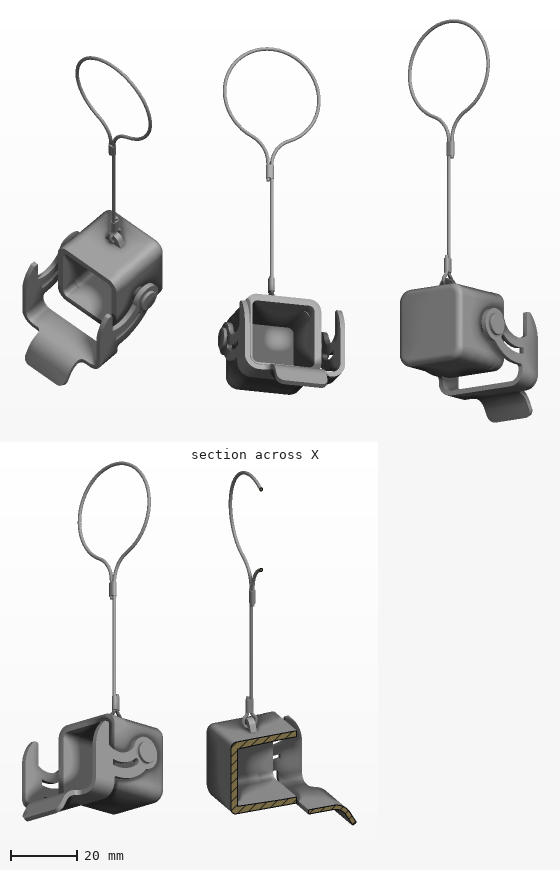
import cadquery as cq
import math

OVERALL_HEIGHT = 118.7

HOOD_SIZE = 24.0
HOOD_BACK = 12.6
HOOD_FRONT = -9.4
HOOD_CORNER = 4.0
HOOD_DRAFT = 0.3
RIM_CORNER = 3.7
RIM_DEPTH = 3.0
HOOD_BACK_ROUND = 1.9
MOUTH_SIZE = 19.7
MOUTH_CORNER = 1.8
MOUTH_DEPTH = 5.1
CAVITY_CORNER = 2.4
CAVITY_DRAFT = 2.0
BACK_WALL = 2.3
HOOD_TOP = HOOD_SIZE / 2

PIN_SPAN = 33.8
PIN_DIAMETER = 4.7
PIN_HEAD_DIAMETER = 6.5
PIN_HEAD_CHAMFER = 0.1
PIN_HALF_LENGTH = PIN_SPAN / 2

SHEET = 1.5
LATCH_HALF_WIDTH = 15.9
LATCH_BEND = 4.5
LATCH_BOTTOM = -16.4
LATCH_FRONT = -21.1
FOOT_BACK = -13.3
FOOT_FILLET = 0.8
EYE_RADIUS = 5.0
SWEEP_Y = -11.3
SWEEP_Z = 5.8
ARM_INNER_RADIUS = 8.0
ARM_OUTER_RADIUS = 15.9
SLOT_RADIUS = 11.9
SLOT_WIDTH = 1.8
SLOT_FRONT = -14.0
SLOT_BACK_ANGLE = math.radians(-51)
HOOK_BACK = -15.7
HOOK_TIP_Z = 6.5
HOOK_FRONT_RADIUS = 11.2
HOOK_BASE_Z = -1.9
HOOK_TIP_ROUND = 0.6

TAB_HALF_WIDTH = 8.1
TAB_ROOT_FILLET = 1.8
TAB_CORNER = 2.4
TAB_BEND = 6.5
TAB_ANGLE = math.radians(59.5)
TAB_BEND_START = -21.5
TAB_END = -29.5

LUG_Y = 3.1
LUG_THICKNESS = 2.0
LUG_HALF_WIDTH = 3.2
LUG_TOP = 15.7
LUG_SHOULDER = 2.3
LUG_SHOULDER_Z = 14.2
LUG_HOLE = 1.9
LUG_HOLE_Z = 13.0

CORD = 1.1
STRAND_GAP = 1.2
FERRULE_LENGTH = 4.3
FERRULE_WIDTH = 1.7
FERRULE_SPAN = 2.5
TAIL = 0.8
SMALL_LOOP = 2.1
SMALL_LOOP_Z = 14.6
SMALL_LOOP_BLEND = 2.1
BIG_LOOP = 15.0
BIG_LOOP_BLEND = 8.9
UPPER_FERRULE_BOTTOM = 53.6
LOWER_FERRULE_BOTTOM = 17.6
CORD_JOIN_Z = 35.6


def block(size, y_back, y_front, corner, draft=0):
    """Rounded square centred on the Y axis, extruded from y_front back to y_back."""
    sketch = cq.Sketch().rect(size, size).vertices().fillet(corner)
    plane = cq.Workplane("XZ", origin=(0, y_front, 0))
    return plane.placeSketch(sketch).extrude(y_front - y_back, taper=draft)


def make_hood():
    rim_back = HOOD_FRONT + RIM_DEPTH
    body = block(HOOD_SIZE, HOOD_BACK, rim_back, HOOD_CORNER, HOOD_DRAFT)
    body = body.faces(">Y").edges().fillet(HOOD_BACK_ROUND)
    rim = block(HOOD_SIZE, rim_back, HOOD_FRONT, RIM_CORNER)
    step = HOOD_FRONT + MOUTH_DEPTH
    mouth = block(MOUTH_SIZE, step, HOOD_FRONT, MOUTH_CORNER)
    cavity = block(MOUTH_SIZE, HOOD_BACK - BACK_WALL, step, CAVITY_CORNER, CAVITY_DRAFT)
    return body.union(rim).cut(mouth).cut(cavity)


def make_pin(side):
    """Pin and head on one side of the hood; side is -1 or 1."""
    wall = (MOUTH_SIZE + HOOD_SIZE) / 4
    pin = (
        cq.Workplane("YZ", origin=(side * wall, 0, 0))
        .circle(PIN_DIAMETER / 2)
        .extrude(side * (PIN_HALF_LENGTH - wall))
    )
    head = (
        cq.Workplane("YZ", origin=(side * LATCH_HALF_WIDTH, 0, 0))
        .circle(PIN_HEAD_DIAMETER / 2)
        .extrude(side * (PIN_HALF_LENGTH - LATCH_HALF_WIDTH))
    )
    outer_face = ">X" if side > 0 else "<X"
    head = head.faces(outer_face).chamfer(PIN_HEAD_CHAMFER)
    return pin.union(head)


def on_sweep(radius, angle):
    """Point (y, z) at a radius and angle about the centre the arms curve around."""
    return (SWEEP_Y + radius * math.cos(angle), SWEEP_Z + radius * math.sin(angle))


def across_latch(workplane):
    """Extrude a YZ outline through the full width of the latch."""
    return workplane.extrude(LATCH_HALF_WIDTH, both=True)


def make_arm_outline():
    eye_angle = math.atan2(-SWEEP_Z, -SWEEP_Y)
    down = -math.pi / 2
    middle = (eye_angle + down) / 2
    hook_angle = -math.acos((HOOK_BACK - SWEEP_Y) / ARM_INNER_RADIUS)
    hook_rise = HOOK_TIP_Z - HOOK_BASE_Z
    hook_tip_y = LATCH_FRONT + HOOK_FRONT_RADIUS - math.sqrt(HOOK_FRONT_RADIUS**2 - hook_rise**2)
    arm_bottom = SWEEP_Z - ARM_OUTER_RADIUS
    outline = across_latch(
        cq.Workplane("YZ")
        .moveTo(*on_sweep(ARM_OUTER_RADIUS, eye_angle))
        .threePointArc(on_sweep(ARM_OUTER_RADIUS, middle), on_sweep(ARM_OUTER_RADIUS, down))
        .lineTo(FOOT_BACK + FOOT_FILLET, arm_bottom)
        .radiusArc((FOOT_BACK, arm_bottom - FOOT_FILLET), -FOOT_FILLET)
        .lineTo(FOOT_BACK, LATCH_BOTTOM)
        .lineTo(LATCH_FRONT, LATCH_BOTTOM)
        .lineTo(LATCH_FRONT, HOOK_BASE_Z)
        .radiusArc((hook_tip_y, HOOK_TIP_Z), HOOK_FRONT_RADIUS)
        .lineTo(HOOK_BACK, HOOK_TIP_Z)
        .lineTo(*on_sweep(ARM_INNER_RADIUS, hook_angle))
        .threePointArc(on_sweep(ARM_INNER_RADIUS, down), on_sweep(ARM_INNER_RADIUS, eye_angle))
        .close()
    )
    outline = outline.faces(">Z").edges("|X").fillet(HOOK_TIP_ROUND)
    eye = across_latch(cq.Workplane("YZ").circle(EYE_RADIUS))
    return outline.union(eye).cut(make_arm_slot())


def make_arm_slot():
    """Curved slot, square at the hook end and round at the eye end."""
    inner = SLOT_RADIUS - SLOT_WIDTH / 2
    outer = SLOT_RADIUS + SLOT_WIDTH / 2
    inner_end = -math.acos((SLOT_FRONT - SWEEP_Y) / inner)
    outer_end = -math.acos((SLOT_FRONT - SWEEP_Y) / outer)
    middle = (SLOT_BACK_ANGLE + inner_end) / 2
    slot = (
        cq.Workplane("YZ")
        .moveTo(*on_sweep(inner, inner_end))
        .threePointArc(on_sweep(inner, middle), on_sweep(inner, SLOT_BACK_ANGLE))
        .radiusArc(on_sweep(outer, SLOT_BACK_ANGLE), SLOT_WIDTH / 2)
        .threePointArc(on_sweep(outer, middle), on_sweep(outer, outer_end))
        .close()
    )
    return across_latch(slot)


def make_tab():
    """Thumb tab: bends down from the foot, then runs straight to a rounded end."""
    top = LATCH_BOTTOM + SHEET
    centre_z = top - TAB_BEND

    def on_bend(radius, angle):
        return (TAB_BEND_START - radius * math.sin(angle), centre_z + radius * math.cos(angle))

    inner = TAB_BEND - SHEET
    bend_end = on_bend(TAB_BEND, TAB_ANGLE)
    straight = (bend_end[0] - TAB_END) / math.cos(TAB_ANGLE)
    run = (-straight * math.cos(TAB_ANGLE), -straight * math.sin(TAB_ANGLE))
    inner_bend_end = on_bend(inner, TAB_ANGLE)
    low_corner = (inner_bend_end[0] + run[0], inner_bend_end[1] + run[1])
    root_half_width = TAB_HALF_WIDTH + TAB_ROOT_FILLET
    sheet = (
        cq.Workplane("YZ")
        .moveTo(LATCH_FRONT, top)
        .lineTo(TAB_BEND_START, top)
        .threePointArc(on_bend(TAB_BEND, TAB_ANGLE / 2), bend_end)
        .line(*run)
        .lineTo(*low_corner)
        .lineTo(*inner_bend_end)
        .threePointArc(on_bend(inner, TAB_ANGLE / 2), on_bend(inner, 0))
        .lineTo(LATCH_FRONT, LATCH_BOTTOM)
        .close()
        .extrude(root_half_width, both=True)
    )
    plan = (
        cq.Workplane("XY", origin=(0, 0, low_corner[1]))
        .moveTo(-root_half_width, LATCH_FRONT)
        .radiusArc((-TAB_HALF_WIDTH, LATCH_FRONT - TAB_ROOT_FILLET), TAB_ROOT_FILLET)
        .lineTo(-TAB_HALF_WIDTH, TAB_END - SHEET)
        .lineTo(TAB_HALF_WIDTH, TAB_END - SHEET)
        .lineTo(TAB_HALF_WIDTH, LATCH_FRONT - TAB_ROOT_FILLET)
        .radiusArc((root_half_width, LATCH_FRONT), TAB_ROOT_FILLET)
        .close()
        .extrude(top - low_corner[1])
    )
    across_sheet = cq.Vector(0, -math.sin(TAB_ANGLE), math.cos(TAB_ANGLE))
    tip_corners = cq.selectors.ParallelDirSelector(across_sheet)
    return sheet.intersect(plan).faces("<Y").edges(tip_corners).fillet(TAB_CORNER)


def make_latch(tab):
    """U-shaped bent sheet trimmed to the arm outline, with the tab on its front edge."""
    height = HOOK_TIP_Z - LATCH_BOTTOM
    length = EYE_RADIUS - LATCH_FRONT
    middle_y = (EYE_RADIUS + LATCH_FRONT) / 2

    def channel(half_width, bottom, bend):
        solid = cq.Workplane("XY", origin=(0, middle_y, bottom)).box(
            2 * half_width, length, height, centered=(True, True, False)
        )
        return solid.faces("<Z").edges("|Y").fillet(bend)

    outside = channel(LATCH_HALF_WIDTH, LATCH_BOTTOM, LATCH_BEND)
    inside = channel(LATCH_HALF_WIDTH - SHEET, LATCH_BOTTOM + SHEET, LATCH_BEND - SHEET)
    return outside.cut(inside).intersect(make_arm_outline()).union(tab)


def make_lug():
    """Round-topped lug on the roof with a hole for the cord."""
    lug = (
        cq.Workplane("XZ", origin=(0, LUG_Y, 0))
        .moveTo(-LUG_HALF_WIDTH, HOOD_TOP)
        .lineTo(-LUG_SHOULDER, LUG_SHOULDER_Z)
        .threePointArc((0, LUG_TOP), (LUG_SHOULDER, LUG_SHOULDER_Z))
        .lineTo(LUG_HALF_WIDTH, HOOD_TOP)
        .close()
        .extrude(LUG_THICKNESS / 2, both=True)
    )
    hole = (
        cq.Workplane("XZ", origin=(0, LUG_Y, LUG_HOLE_Z))
        .circle(LUG_HOLE / 2)
        .extrude(LUG_THICKNESS, both=True)
    )
    return lug.cut(hole)


def make_cord(plane, loop, blend, main, tail, main_end, tail_end):
    """Cord that runs up from main_end, round a loop and back down to tail_end.

    The plane has its origin at the loop centre and its local y pointing from strands to loop.
    main and tail are the local x places of the strands, main on the right.
    """
    reach = loop + blend

    def blend_ends(strand, side):
        centre_x = strand + side * blend
        centre_y = -math.sqrt(reach**2 - centre_x**2)
        turn = math.atan2(-centre_y, -centre_x)
        straight_angle = math.pi if side > 0 else 0
        middle = (turn + straight_angle) / 2
        middle_point = (centre_x + blend * math.cos(middle), centre_y + blend * math.sin(middle))
        loop_point = (centre_x * loop / reach, centre_y * loop / reach)
        return (strand, centre_y), middle_point, loop_point

    main_start, main_middle, main_join = blend_ends(main, 1)
    tail_start, tail_middle, tail_join = blend_ends(tail, -1)
    path = (
        cq.Workplane(plane)
        .moveTo(main, main_end)
        .lineTo(*main_start)
        .threePointArc(main_middle, main_join)
        .threePointArc((0, loop), tail_join)
        .threePointArc(tail_middle, tail_start)
        .lineTo(tail, tail_end)
    )
    start = plane.toWorldCoords((main, main_end))
    section = cq.Workplane(cq.Plane(start, plane.xDir, plane.yDir))
    return section.circle(CORD / 2).sweep(path)


def make_ferrule(x, y, bottom, direction):
    """Sleeve round two strands side by side; direction is the angle from one strand to the other."""
    plane = cq.Workplane("XY", origin=(x, y, bottom))
    return plane.slot2D(FERRULE_SPAN, FERRULE_WIDTH, direction).extrude(FERRULE_LENGTH)


def make_lanyard(top):
    main_y = LUG_Y - STRAND_GAP / 2
    big_z = top - CORD / 2 - BIG_LOOP
    upper_tail_z = UPPER_FERRULE_BOTTOM - TAIL
    lower_tail_z = LOWER_FERRULE_BOTTOM + FERRULE_LENGTH + TAIL
    big_plane = cq.Plane((0, main_y, big_z), xDir=(1, 0, 0), normal=(0, -1, 0))
    small_plane = cq.Plane((0, LUG_Y, SMALL_LOOP_Z), xDir=(0, -1, 0), normal=(1, 0, 0))
    big_loop = make_cord(
        big_plane, BIG_LOOP, BIG_LOOP_BLEND, 0, -STRAND_GAP, CORD_JOIN_Z - big_z, upper_tail_z - big_z
    )
    small_loop = make_cord(
        small_plane,
        SMALL_LOOP,
        SMALL_LOOP_BLEND,
        STRAND_GAP / 2,
        -STRAND_GAP / 2,
        SMALL_LOOP_Z - CORD_JOIN_Z,
        SMALL_LOOP_Z - lower_tail_z,
    )
    upper = make_ferrule(-STRAND_GAP / 2, main_y, UPPER_FERRULE_BOTTOM, 0)
    lower = make_ferrule(0, LUG_Y, LOWER_FERRULE_BOTTOM, 90)
    return big_loop.union(small_loop).union(upper).union(lower)


tab = make_tab()
part_bottom = tab.val().BoundingBox().zmin
latch = make_latch(tab)
hood = make_hood().union(make_pin(-1)).union(make_pin(1)).union(make_lug())
result = hood.union(latch).union(make_lanyard(part_bottom + OVERALL_HEIGHT))